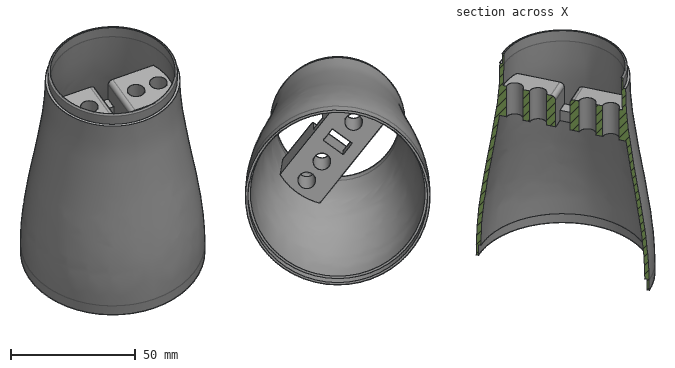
import cadquery as cq

TOTAL_HEIGHT = 100.0
BASE_RADIUS = 74.0 / 2
WALL = 2.0

JOINT_HEIGHT = 5.0
SOCKET_RADIUS = 72.0 / 2
SPIGOT_RADIUS = 51.85 / 2
BORE_RADIUS = 50.0 / 2
SPIGOT_RIM_RADIUS = 0.5

SHOULDER_HEIGHT = TOTAL_HEIGHT - JOINT_HEIGHT
SHOULDER_RADIUS = BORE_RADIUS + WALL

BAR_WIDTH = 20.0
BAR_TOP = 84.5
BAR_THICKNESS = 15.0
NOTCH_WIDTH = 6.0
NOTCH_DEPTH = 10.0
NOTCH_EDGE_RADIUS = 2.0
WINDOW_LENGTH = 10.0
HOLE_DIAMETER = 7.0
INNER_HOLE_OFFSET = 10.5
HOLE_PITCH = 10.0


def flank_body(inset):
    """Solid of revolution under the curved flank, drawn in from the outside by inset."""
    vertical_pull = (SHOULDER_HEIGHT - JOINT_HEIGHT) / 3
    return (
        cq.Workplane("XZ")
        .moveTo(0, JOINT_HEIGHT)
        .lineTo(BASE_RADIUS - inset, JOINT_HEIGHT)
        .bezier(
            [
                (BASE_RADIUS - inset, JOINT_HEIGHT + vertical_pull),
                (SHOULDER_RADIUS - inset, SHOULDER_HEIGHT - vertical_pull),
                (SHOULDER_RADIUS - inset, SHOULDER_HEIGHT),
            ],
            includeCurrent=True,
        )
        .lineTo(0, SHOULDER_HEIGHT)
        .close()
        .revolve(360, (0, 0, 0), (0, 1, 0))
    )


def tube(outer_radius, inner_radius, bottom):
    """Plain ring one joint high."""
    return (
        cq.Workplane("XY", origin=(0, 0, bottom))
        .circle(outer_radius)
        .circle(inner_radius)
        .extrude(JOINT_HEIGHT)
    )


def spigot():
    """Top ring with its outer rim rounded."""
    ring = tube(SPIGOT_RADIUS, BORE_RADIUS, SHOULDER_HEIGHT)
    outer_rim = cq.selectors.RadiusNthSelector(-1)
    return ring.faces(">Z").edges(outer_rim).fillet(SPIGOT_RIM_RADIUS)


def crossbar():
    """Bar with a round-edged notch across its middle, a window below it and four holes."""
    bar_bottom = BAR_TOP - BAR_THICKNESS
    bar_base = cq.Workplane("XY", origin=(0, 0, bar_bottom))
    bar = bar_base.rect(BAR_WIDTH, 2 * BASE_RADIUS).extrude(BAR_THICKNESS)

    notch_bottom = cq.Workplane("XY", origin=(0, 0, BAR_TOP - NOTCH_DEPTH))
    bar = bar.cut(notch_bottom.rect(BAR_WIDTH, NOTCH_WIDTH).extrude(NOTCH_DEPTH))
    near_notch = cq.selectors.BoxSelector(
        (-BAR_WIDTH, -NOTCH_WIDTH, BAR_TOP - NOTCH_EDGE_RADIUS),
        (BAR_WIDTH, NOTCH_WIDTH, BAR_TOP + NOTCH_EDGE_RADIUS),
    )
    bar = bar.edges("|X").edges(near_notch).fillet(NOTCH_EDGE_RADIUS)

    bar = bar.cut(bar_base.rect(WINDOW_LENGTH, NOTCH_WIDTH).extrude(BAR_THICKNESS))

    outer_hole_offset = INNER_HOLE_OFFSET + HOLE_PITCH
    hole_centres = [
        (0, side * offset)
        for side in (-1, 1)
        for offset in (INNER_HOLE_OFFSET, outer_hole_offset)
    ]
    holes = bar_base.pushPoints(hole_centres).circle(HOLE_DIAMETER / 2).extrude(BAR_THICKNESS)
    return bar.cut(holes)


outer_body = flank_body(0)
shell = outer_body.cut(flank_body(WALL))
trimmed_bar = crossbar().intersect(outer_body)
base_ring = tube(BASE_RADIUS, SOCKET_RADIUS, 0)

result = shell.union(base_ring).union(spigot()).union(trimmed_bar)